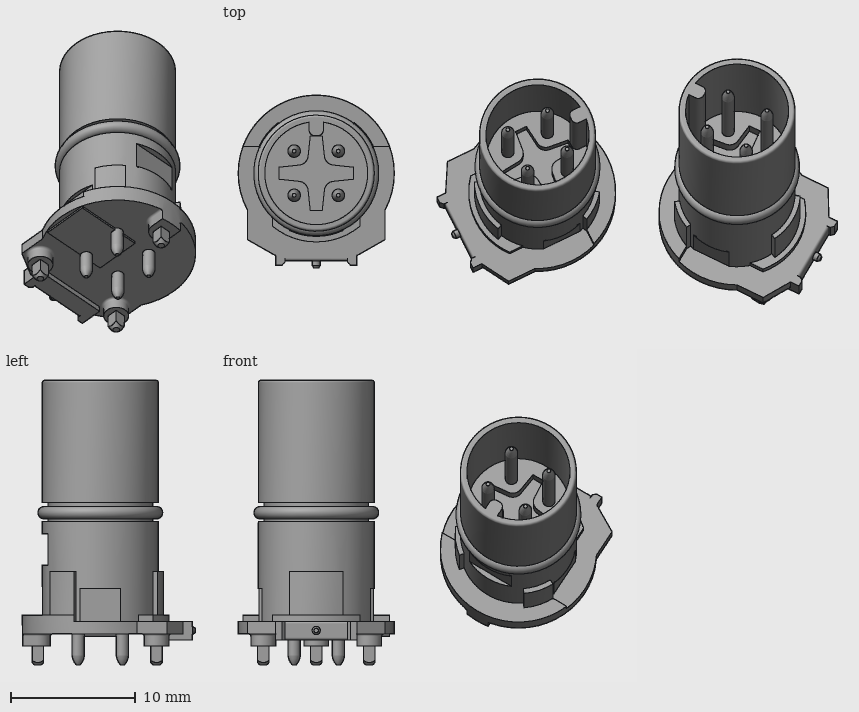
import cadquery as cq
import math

OVERALL_HEIGHT = 22.8
TAIL_LENGTH = 2.5
BARREL_TOP = OVERALL_HEIGHT - TAIL_LENGTH
FLANGE_THICKNESS = 1.0
STEP_HEIGHT = 0.5
STEP_TOP = FLANGE_THICKNESS + STEP_HEIGHT
CLIP_TOP = 5.0

BARREL_RADIUS = 4.65
RIM_FILLET = 0.2
BORE_RADIUS = 4.12
BORE_DEPTH = 8.8
BORE_FLOOR = BARREL_TOP - BORE_DEPTH
GROOVE_RADIUS = 4.2
GROOVE_BOTTOM = 9.0
GROOVE_TOP = 10.5
RING_SECTION_RADIUS = 0.5
RING_PATH_RADIUS = 4.5
RING_Z = 9.7
SIDE_FLAT_HALF_WIDTH = 1.62
SIDE_FLAT_TOP = 3.62
BACK_NOTCH_DEPTH = 0.45
BACK_NOTCH_BOTTOM = 5.5
BACK_NOTCH_TOP = 8.0

KEY_WIDTH = 1.14
KEY_INNER_Y = 3.0
KEY_CORNER_RADIUS = 0.45
CROSS_REACH = 2.97
CROSS_TIP_HALF_WIDTH = 0.48
CROSS_ROOT_HALF_WIDTH = 0.72
CROSS_FILLET = 0.8
CROSS_DEPTH = 1.0

CONTACT_CIRCLE_RADIUS = 2.5
CONTACT_RADIUS = 0.5
CONTACT_TOP = 18.8
CONTACT_TIP_RADIUS = 0.15
CONTACT_SHOULDER_DEPTH = 0.06
CONTACT_SHOULDER_HEIGHT = 0.25
NOSE_LENGTH = 0.75
UPPER_NOSE_MID_RADIUS = 0.33
LOWER_NOSE_MID_RADIUS = 0.4

OVERALL_LENGTH = 13.85
FLANGE_RADIUS = 6.25
SHOULDER_X = 5.51
SHOULDER_Y = -5.32
NECK_X = 3.26
NECK_Y = -6.6
TAB_FRONT_Y = -7.37
TAB_INNER_X = 2.5
TAB_CHAMFER = 0.25
TAB_BOTTOM = -0.5
TAB_BACK_Y = -5.4
BAR_FRONT_Y = -7.02
BAR_FILLET = 0.2
STEP_FRONT_Y = 2.12
LIP_RADIUS = 5.5
LIP_HALF_WIDTH = 3.51
PAD_HALF_WIDTH = 2.0
PAD_THICKNESS = 0.2

NUB_RADIUS = 0.33
NUB_TIP_RADIUS = 0.18
NUB_TIP_LENGTH = 0.2
NUB_FRONT_Y = FLANGE_RADIUS - OVERALL_LENGTH
NUB_Z = 0.27

CLIP_RADIUS = 5.06
FRONT_CLIP_HALF_ANGLE = 25.2
SIDE_CLIP_BACK_Y = 4.04

BOSS_RADIUS = 1.0
BOSS_HEIGHT = 0.98
BOSS_FILLET = 0.2
FRONT_PIN_X = 4.24
FRONT_PIN_Y = -4.5
REAR_PIN_Y = 5.0
PIN_WIDTH = 0.93
PIN_TIP_RADIUS = 0.27


def cylinder(radius, bottom, top):
    return cq.Workplane("XY").workplane(offset=bottom).circle(radius).extrude(top - bottom)


def block(x_min, x_max, y_min, y_max, z_min, z_max):
    size = (x_max - x_min, y_max - y_min, z_max - z_min)
    return cq.Workplane("XY").box(*size, centered=False).translate((x_min, y_min, z_min))


def polar_point(radius, angle):
    return (radius * math.cos(math.radians(angle)), radius * math.sin(math.radians(angle)))


def flange():
    arc_y = -math.sqrt(FLANGE_RADIUS**2 - SHOULDER_X**2)
    plate = (
        cq.Workplane("XY")
        .moveTo(SHOULDER_X, arc_y)
        .threePointArc((0, FLANGE_RADIUS), (-SHOULDER_X, arc_y))
        .lineTo(-SHOULDER_X, SHOULDER_Y)
        .lineTo(-NECK_X, NECK_Y)
        .lineTo(NECK_X, NECK_Y)
        .lineTo(SHOULDER_X, SHOULDER_Y)
        .close()
        .extrude(FLANGE_THICKNESS)
    )
    rear_half = block(-FLANGE_RADIUS, FLANGE_RADIUS, STEP_FRONT_Y, FLANGE_RADIUS, 0, STEP_TOP)
    rear_step = cylinder(FLANGE_RADIUS, 0, STEP_TOP).intersect(rear_half)
    lip_zone = block(-LIP_HALF_WIDTH, LIP_HALF_WIDTH, -LIP_RADIUS, 0, 0, STEP_TOP)
    front_lip = cylinder(LIP_RADIUS, 0, STEP_TOP).intersect(lip_zone)
    pad_end_x = math.sqrt(FLANGE_RADIUS**2 - STEP_FRONT_Y**2)
    pad = block(0, pad_end_x, -PAD_HALF_WIDTH, PAD_HALF_WIDTH, -PAD_THICKNESS, FLANGE_THICKNESS)
    return plate.union(rear_step).union(front_lip).union(pad)


def front_block():
    """Bar with rounded long edges between two tabs, with a small nub on its front face."""
    bar = block(-NECK_X, NECK_X, BAR_FRONT_Y, TAB_BACK_Y, TAB_BOTTOM, FLANGE_THICKNESS)
    bar = bar.edges("|X and <Y").fillet(BAR_FILLET)
    right_tab = block(TAB_INNER_X, NECK_X, TAB_FRONT_Y, TAB_BACK_Y, TAB_BOTTOM, FLANGE_THICKNESS)
    right_tab = right_tab.edges("|Z and <X and <Y").chamfer(TAB_CHAMFER)
    nub = (
        cq.Workplane("XY")
        .moveTo(0, TAB_BACK_Y)
        .lineTo(NUB_RADIUS, TAB_BACK_Y)
        .lineTo(NUB_RADIUS, NUB_FRONT_Y + NUB_TIP_LENGTH)
        .lineTo(NUB_TIP_RADIUS, NUB_FRONT_Y)
        .lineTo(0, NUB_FRONT_Y)
        .close()
        .revolve(360, (0, 0), (0, 1))
        .translate((0, 0, NUB_Z))
    )
    return bar.union(right_tab).union(right_tab.mirror("YZ")).union(nub)


def clip(start_angle, end_angle):
    """Raised sector around the barrel foot, between two radial ends."""
    middle_angle = (start_angle + end_angle) / 2
    return (
        cq.Workplane("XY")
        .lineTo(*polar_point(CLIP_RADIUS, start_angle))
        .threePointArc(polar_point(CLIP_RADIUS, middle_angle), polar_point(CLIP_RADIUS, end_angle))
        .close()
        .extrude(CLIP_TOP)
    )


def clips():
    """One clip at the front and one on each side that starts at the edge of the rear step."""
    front = clip(-90 - FRONT_CLIP_HALF_ANGLE, -90 + FRONT_CLIP_HALF_ANGLE)
    side_start = math.degrees(math.asin(STEP_FRONT_Y / CLIP_RADIUS))
    side_end = math.degrees(math.asin(SIDE_CLIP_BACK_Y / CLIP_RADIUS))
    right = clip(side_start, side_end)
    return front.union(right).union(right.mirror("YZ"))


def barrel():
    body = cylinder(BARREL_RADIUS, 0, BARREL_TOP).faces(">Z").edges().fillet(RIM_FILLET)
    groove = cylinder(2 * BARREL_RADIUS, GROOVE_BOTTOM, GROOVE_TOP).cut(
        cylinder(GROOVE_RADIUS, GROOVE_BOTTOM, GROOVE_TOP)
    )
    body = body.cut(groove)

    flat_x = math.sqrt(BARREL_RADIUS**2 - SIDE_FLAT_HALF_WIDTH**2)
    right_flat = block(
        flat_x, BARREL_RADIUS, -BARREL_RADIUS, BARREL_RADIUS, FLANGE_THICKNESS, SIDE_FLAT_TOP
    )
    body = body.cut(right_flat).cut(right_flat.mirror("YZ"))

    notch_y = BARREL_RADIUS - BACK_NOTCH_DEPTH
    back_notch = block(
        -BARREL_RADIUS, BARREL_RADIUS, notch_y, BARREL_RADIUS, BACK_NOTCH_BOTTOM, BACK_NOTCH_TOP
    )
    return body.cut(back_notch).cut(cylinder(BORE_RADIUS, BORE_FLOOR, BARREL_TOP))


def seal_ring():
    return (
        cq.Workplane("XZ")
        .center(RING_PATH_RADIUS, RING_Z)
        .circle(RING_SECTION_RADIUS)
        .revolve(360, (-RING_PATH_RADIUS, 0), (-RING_PATH_RADIUS, 1))
    )


def coding_key():
    key_outer_y = (BORE_RADIUS + BARREL_RADIUS - RIM_FILLET) / 2
    key = block(-KEY_WIDTH / 2, KEY_WIDTH / 2, KEY_INNER_Y, key_outer_y, BORE_FLOOR, BARREL_TOP)
    return key.edges("|Z and <Y").fillet(KEY_CORNER_RADIUS)


def cross_recess():
    """Four tapered arms with rounded inner corners, sunk into the bore floor."""
    points = []
    for arm in range(4):
        turn = math.radians(90 * arm)
        for along, across in (
            (CROSS_REACH, -CROSS_TIP_HALF_WIDTH),
            (CROSS_REACH, CROSS_TIP_HALF_WIDTH),
            (CROSS_ROOT_HALF_WIDTH, CROSS_ROOT_HALF_WIDTH),
        ):
            x = along * math.cos(turn) - across * math.sin(turn)
            y = along * math.sin(turn) + across * math.cos(turn)
            points.append((x, y))
    cross = cq.Workplane("XY").polyline(points).close().extrude(CROSS_DEPTH)
    inner_zone = cq.selectors.BoxSelector(
        (-CROSS_REACH / 2, -CROSS_REACH / 2, 0), (CROSS_REACH / 2, CROSS_REACH / 2, CROSS_DEPTH)
    )
    cross = cross.edges("|Z").edges(inner_zone).fillet(CROSS_FILLET)
    return cross.translate((0, 0, BORE_FLOOR - CROSS_DEPTH))


def contact():
    """Round contact with a bullet nose at each end."""
    nose_radius = CONTACT_RADIUS - CONTACT_SHOULDER_DEPTH
    upper_base = CONTACT_TOP - NOSE_LENGTH
    lower_base = NOSE_LENGTH - TAIL_LENGTH
    upper_middle = (UPPER_NOSE_MID_RADIUS, upper_base + NOSE_LENGTH / 2)
    lower_middle = (LOWER_NOSE_MID_RADIUS, lower_base - NOSE_LENGTH / 2)
    return (
        cq.Workplane("XZ")
        .moveTo(0, -TAIL_LENGTH)
        .lineTo(CONTACT_TIP_RADIUS, -TAIL_LENGTH)
        .threePointArc(lower_middle, (CONTACT_RADIUS, lower_base))
        .lineTo(CONTACT_RADIUS, upper_base - CONTACT_SHOULDER_HEIGHT)
        .lineTo(nose_radius, upper_base)
        .threePointArc(upper_middle, (CONTACT_TIP_RADIUS, CONTACT_TOP))
        .lineTo(0, CONTACT_TOP)
        .close()
        .revolve(360, (0, 0), (0, 1))
    )


def boss_half_profile():
    """Half section of a boss below the flange, with a flared root."""
    flare_shift = BOSS_FILLET * (1 - math.sqrt(0.5))
    return (
        cq.Workplane("XZ")
        .lineTo(BOSS_RADIUS + BOSS_FILLET, 0)
        .threePointArc((BOSS_RADIUS + flare_shift, -flare_shift), (BOSS_RADIUS, -BOSS_FILLET))
        .lineTo(BOSS_RADIUS, -BOSS_HEIGHT)
        .lineTo(0, -BOSS_HEIGHT)
        .close()
    )


def mounting_boss():
    return boss_half_profile().revolve(360, (0, 0), (0, 1))


def mounting_pin():
    """Square pin whose end is turned to a 45 degree cone."""
    half = PIN_WIDTH / 2
    pin = block(-half, half, -half, half, -TAIL_LENGTH, 0)
    turned_end = cylinder(PIN_WIDTH, -TAIL_LENGTH, 0)
    turned_end = turned_end.faces("<Z").edges().chamfer(PIN_WIDTH - PIN_TIP_RADIUS)
    return pin.intersect(turned_end)


def rear_boss():
    """Boss whose straight sides run outward to the rim of the flange."""
    right_side = boss_half_profile().extrude(REAR_PIN_Y - FLANGE_RADIUS)
    boss = mounting_boss().union(right_side).union(right_side.mirror("YZ"))
    boss = boss.translate((0, REAR_PIN_Y, 0))
    return boss.intersect(cylinder(FLANGE_RADIUS, -BOSS_HEIGHT, 0))


result = flange().union(front_block()).union(barrel()).union(clips())
result = result.union(seal_ring()).union(coding_key()).cut(cross_recess())

for quadrant in range(4):
    x, y = polar_point(CONTACT_CIRCLE_RADIUS, 45 + 90 * quadrant)
    result = result.union(contact().translate((x, y, 0)))

for side in (-1, 1):
    front_foot = mounting_boss().union(mounting_pin())
    result = result.union(front_foot.translate((side * FRONT_PIN_X, FRONT_PIN_Y, 0)))

result = result.union(rear_boss()).union(mounting_pin().translate((0, REAR_PIN_Y, 0)))